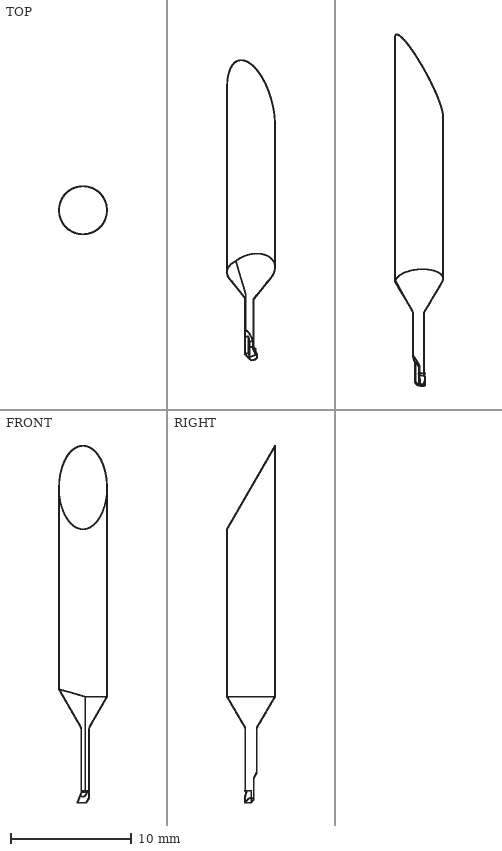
import cadquery as cq
import math

TOTAL_LENGTH = 29.7
SHANK_RADIUS = 2.005
BEVEL_ANGLE = math.radians(30)

NECK_RADIUS = 0.52
LOBE_OFFSET = 0.35
CONE_ANGLE = math.radians(30)
NECK_TOP_Z = 6.15
BLEND_RADIUS = 0.4
CONE_END_RADIUS = SHANK_RADIUS + 2 * LOBE_OFFSET

FLUTE_START_Z = 2.58
FLUTE_END_Z = 2.05
WALL_BACK_Y = 0.25
WALL_SIDE_X = 0.12
WALL_RELIEF = 0.3

TIP_TOP_Z = 1.0
HOOK_TOP = (LOBE_OFFSET - NECK_RADIUS, 0.8)
HOOK_POINT = (-0.48, 0.0)
HEEL_X = 0.27
HEEL_Z = 0.42
NOTCH_ROOT_Y = -0.4
NOTCH_ROOT_Z = 0.9
NOTCH_BOTTOM_Z = 0.5

REACH = 2 * SHANK_RADIUS


def prism_along_x(points, x_start, x_end):
    """Prism with a (Y, Z) outline between two X positions."""
    return (cq.Workplane("YZ").workplane(offset=x_start)
            .polyline(points).close().extrude(x_end - x_start))


def box(x_start, x_end, y_start, y_end, z_start, z_end):
    return cq.Workplane("XY").box(
        x_end - x_start, y_end - y_start, z_end - z_start, centered=False
    ).translate((x_start, y_start, z_start))


def make_lobe(x_center):
    """Round neck, blend, cone and cylinder around an axis at x_center."""
    blend_x = NECK_RADIUS + BLEND_RADIUS

    def blend_point(angle):
        return (blend_x - BLEND_RADIUS * math.cos(angle), NECK_TOP_Z + BLEND_RADIUS * math.sin(angle))

    cone_start = blend_point(CONE_ANGLE)
    cone_end_z = cone_start[1] + (CONE_END_RADIUS - cone_start[0]) / math.tan(CONE_ANGLE)
    return (
        cq.Workplane("XZ")
        .moveTo(0, 0)
        .lineTo(NECK_RADIUS, 0)
        .lineTo(NECK_RADIUS, NECK_TOP_Z)
        .threePointArc(blend_point(CONE_ANGLE / 2), cone_start)
        .lineTo(CONE_END_RADIUS, cone_end_z)
        .lineTo(CONE_END_RADIUS, TOTAL_LENGTH)
        .lineTo(0, TOTAL_LENGTH)
        .close()
        .revolve(360, (0, 0, 0), (0, 1, 0))
        .translate((x_center, 0, 0))
    )


def make_top_bevel():
    low_z = TOTAL_LENGTH - 2 * SHANK_RADIUS / math.tan(BEVEL_ANGLE)
    outline = [(SHANK_RADIUS, TOTAL_LENGTH), (-SHANK_RADIUS, low_z), (-SHANK_RADIUS, TOTAL_LENGTH)]
    return prism_along_x(outline, -REACH, REACH)


def make_flute():
    """Sloped run-out down to the wall, and deeper to the center plane beside it."""
    slope = (FLUTE_START_Z - FLUTE_END_Z) / (NECK_RADIUS - WALL_BACK_Y)
    center_z = FLUTE_END_Z - slope * WALL_BACK_Y
    start = (NECK_RADIUS, FLUTE_START_Z)
    behind_wall = prism_along_x(
        [start, (WALL_BACK_Y, FLUTE_END_Z), (WALL_BACK_Y, 0), (NECK_RADIUS, 0)], -REACH, REACH)
    beside_wall = prism_along_x([start, (0, center_z), (0, 0), (NECK_RADIUS, 0)], -REACH, WALL_SIDE_X)
    return behind_wall.union(beside_wall)


def make_heel_chamfer():
    outline = [(HEEL_X, 0), (NECK_RADIUS, HEEL_Z), (NECK_RADIUS, 0)]
    return cq.Workplane("XZ").polyline(outline).close().extrude(REACH, both=True)


def make_holder():
    shank_cylinder = cq.Workplane("XY").circle(SHANK_RADIUS).extrude(TOTAL_LENGTH)
    holder = shank_cylinder.intersect(make_lobe(0)).intersect(make_lobe(LOBE_OFFSET))
    wall_relief = prism_along_x([(0, 0), (WALL_BACK_Y, WALL_RELIEF), (WALL_BACK_Y, 0)], -REACH, REACH)
    tip_seat = box(-REACH, REACH, -REACH, 0, 0, TIP_TOP_Z)
    for cutter in (make_top_bevel(), make_flute(), tip_seat, wall_relief, make_heel_chamfer()):
        holder = holder.cut(cutter)
    return holder


def make_tip():
    """Hooked cutting tip in front of the wall, with its rake face on the center plane."""
    outline = [
        (HOOK_TOP[0], TIP_TOP_Z), HOOK_TOP, HOOK_POINT,
        (HEEL_X, 0), (NECK_RADIUS, HEEL_Z), (NECK_RADIUS, TIP_TOP_Z),
    ]
    plate = cq.Workplane("XZ").polyline(outline).close().extrude(NECK_RADIUS)
    tip = plate.intersect(cq.Workplane("XY").circle(NECK_RADIUS).extrude(TIP_TOP_Z))
    notch = prism_along_x(
        [(-NECK_RADIUS, TIP_TOP_Z), (NOTCH_ROOT_Y, NOTCH_ROOT_Z), (-NECK_RADIUS, NOTCH_BOTTOM_Z)],
        -REACH, REACH)
    return tip.cut(notch)


holder = make_holder()
cutting_tip = make_tip()
result = cq.Compound.makeCompound([holder.solids().val(), cutting_tip.solids().val()])